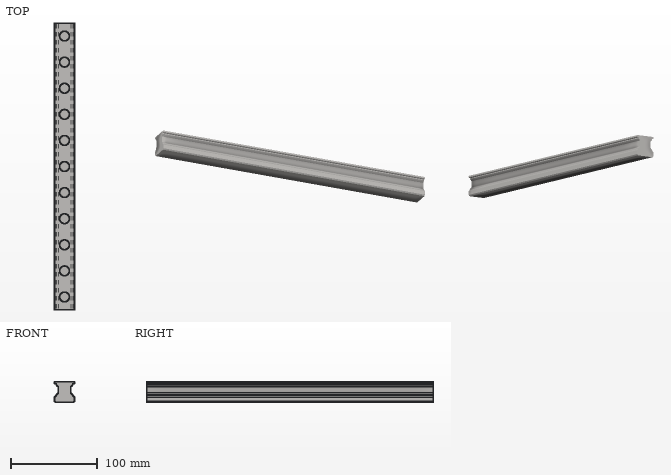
import cadquery as cq

length = 330.0
width = 23.0
height = 23.8

half_width = width / 2
neck_half_width = 9.5
web_half_width = 7.3
web_flare = neck_half_width - web_half_width

base_chamfer = 1.3
base_side_top = 6.0
lower_neck_z = 8.0
web_bottom = 11.0
web_top = 17.8
upper_neck_z = 21.0
head_bottom = 21.5
head_chamfer = 0.5

recess_count = 11
recess_pitch = length / recess_count
recess_diameter = 11.2
recess_depth = 0.15


def rail_body():
    """Waisted cross-section, mirrored about the middle plane and run along Y."""
    right_side = [
        (half_width - base_chamfer, 0),
        (half_width, base_chamfer),
        (half_width, base_side_top),
        (neck_half_width, lower_neck_z),
        (neck_half_width, web_bottom - web_flare),
        (web_half_width, web_bottom),
        (web_half_width, web_top),
        (neck_half_width, web_top + web_flare),
        (neck_half_width, upper_neck_z),
        (half_width - head_chamfer, head_bottom),
        (half_width, head_bottom + head_chamfer),
        (half_width, height - head_chamfer),
        (half_width - head_chamfer, height),
    ]
    left_side = [(-x, z) for x, z in reversed(right_side)]
    profile = cq.Workplane("XZ").polyline(right_side + left_side).close()
    return profile.extrude(length / 2, both=True)


def top_recesses():
    """Shallow flat-bottomed discs, evenly spaced with half a pitch at each end."""
    discs = cq.Workplane("XY", origin=(0, 0, height - recess_depth))
    discs = discs.rarray(3.3, recess_pitch, 1, recess_count).circle(recess_diameter / 2)
    return discs.extrude(recess_depth)


result = rail_body().cut(top_recesses())